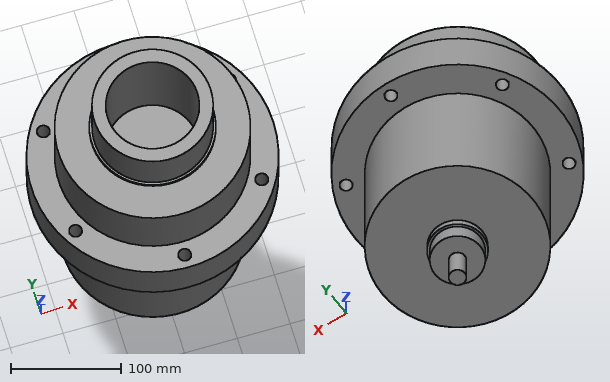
import cadquery as cq

SHAFT_BOTTOM = 0.0
HUB_BOTTOM = 31.8
HUB_COLLAR_BOTTOM = 49.2
BODY_BOTTOM = 56.7
FLANGE_BOTTOM = 190.0
FLANGE_TOP = 237.5
HEAD_TOP = 304.5
NECK_COLLAR_TOP = 307.0
NECK_TOP = 357.0

SHAFT_DIAMETER = 16.0
HUB_DIAMETER = 50.3
HUB_COLLAR_DIAMETER = 55.3
BODY_DIAMETER = 168.5
FLANGE_DIAMETER = 228.8
HEAD_DIAMETER = 177.7
NECK_COLLAR_DIAMETER = 115.0
NECK_DIAMETER = 110.0

BORE_DIAMETER = 85.0
BORE_DEPTH = 102.5

BOLT_COUNT = 6
BOLT_HOLE_DIAMETER = 11.8
BOLT_CIRCLE_DIAMETER = 203.5
FIRST_BOLT_ANGLE = 90.0


def step(diameter, bottom, top):
    """Round step on the Z axis."""
    return cq.Workplane("XY").workplane(offset=bottom).circle(diameter / 2).extrude(top - bottom)


def stepped_body():
    """All round steps joined into one spindle."""
    steps = [
        step(HUB_DIAMETER, HUB_BOTTOM, HUB_COLLAR_BOTTOM),
        step(HUB_COLLAR_DIAMETER, HUB_COLLAR_BOTTOM, BODY_BOTTOM),
        step(BODY_DIAMETER, BODY_BOTTOM, FLANGE_BOTTOM),
        step(FLANGE_DIAMETER, FLANGE_BOTTOM, FLANGE_TOP),
        step(HEAD_DIAMETER, FLANGE_TOP, HEAD_TOP),
        step(NECK_COLLAR_DIAMETER, HEAD_TOP, NECK_COLLAR_TOP),
        step(NECK_DIAMETER, NECK_COLLAR_TOP, NECK_TOP),
    ]
    body = step(SHAFT_DIAMETER, SHAFT_BOTTOM, HUB_BOTTOM)
    for next_step in steps:
        body = body.union(next_step)
    return body


def neck_bore():
    """Cutter for the blind bore, open at the top of the neck."""
    return step(BORE_DIAMETER, NECK_TOP - BORE_DEPTH, NECK_TOP)


def flange_holes():
    """Cutters for the ring of flange holes."""
    return (
        cq.Workplane("XY")
        .workplane(offset=FLANGE_BOTTOM)
        .polarArray(BOLT_CIRCLE_DIAMETER / 2, FIRST_BOLT_ANGLE, 360, BOLT_COUNT)
        .circle(BOLT_HOLE_DIAMETER / 2)
        .extrude(FLANGE_TOP - FLANGE_BOTTOM)
    )


result = stepped_body().cut(neck_bore()).cut(flange_holes())